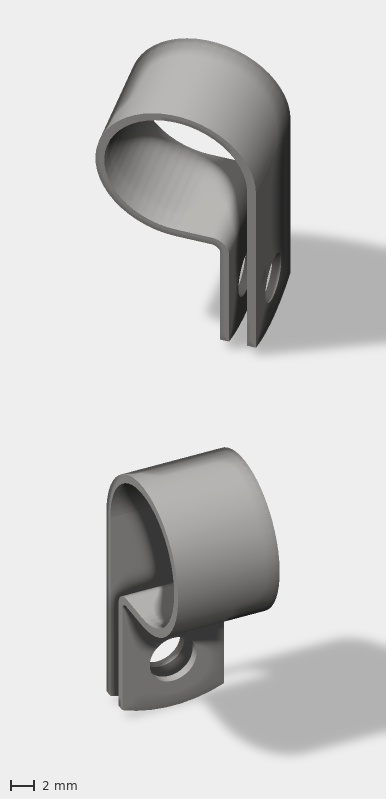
import cadquery as cq
import math

height = 26.38
width = 9.52
thickness = 0.8

loop_diameter = 14.32
outer_radius = loop_diameter / 2
inner_radius = outer_radius - thickness

leg_gap = 1.6
bend_outer_radius = 1.58
bend_inner_radius = bend_outer_radius - thickness
leg_bottom = outer_radius - height
short_leg_right = inner_radius - leg_gap
short_leg_left = short_leg_right - thickness
bend_x = short_leg_right - bend_outer_radius
bend_z = -inner_radius - bend_outer_radius

end_arc_height = 0.92
hole_diameter = 4.38
hole_z = leg_bottom + 4.77

diagonal = math.sqrt(0.5)


def clamp_strip():
    """Bent strip: long leg, loop, flat, bend and short leg."""
    outline = (
        cq.Workplane("XZ")
        .moveTo(outer_radius, leg_bottom)
        .lineTo(outer_radius, 0)
        .threePointArc((-outer_radius * diagonal, outer_radius * diagonal), (0, -outer_radius))
        .lineTo(bend_x, -outer_radius)
        .threePointArc(
            (bend_x + bend_inner_radius * diagonal, bend_z + bend_inner_radius * diagonal),
            (short_leg_left, bend_z),
        )
        .lineTo(short_leg_left, leg_bottom)
        .lineTo(short_leg_right, leg_bottom)
        .lineTo(short_leg_right, bend_z)
        .threePointArc(
            (bend_x + bend_outer_radius * diagonal, bend_z + bend_outer_radius * diagonal),
            (bend_x, -inner_radius),
        )
        .lineTo(0, -inner_radius)
        .threePointArc((-inner_radius * diagonal, inner_radius * diagonal), (inner_radius, 0))
        .lineTo(inner_radius, leg_bottom)
        .close()
    )
    return outline.extrude(width / 2, both=True)


def end_envelope():
    """Block around the whole strip with an arched bottom that rounds the leg ends."""
    corner_z = leg_bottom + end_arc_height
    return (
        cq.Workplane("YZ")
        .moveTo(-width / 2, corner_z)
        .threePointArc((0, leg_bottom), (width / 2, corner_z))
        .lineTo(width / 2, outer_radius)
        .lineTo(-width / 2, outer_radius)
        .close()
        .extrude(outer_radius, both=True)
    )


def screw_hole():
    """Cylinder along X that passes through both legs."""
    return (
        cq.Workplane("YZ")
        .center(0, hole_z)
        .circle(hole_diameter / 2)
        .extrude(outer_radius, both=True)
    )


result = clamp_strip().intersect(end_envelope()).cut(screw_hole())